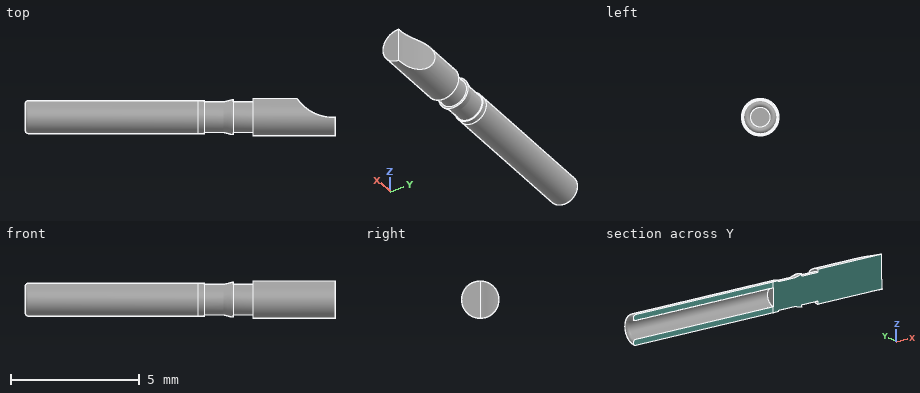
import cadquery as cq
import math

TOTAL_LENGTH = 12.04
SLEEVE_LENGTH = 6.71
COLLAR_END = 6.96
BARB_START = 7.72
BARB_CREST = 8.02
BARB_END = 8.08
TAIL_START = 8.84

SLEEVE_DIAMETER = 1.29
BORE_DIAMETER = 0.76
NECK_DIAMETER = 1.2
BARB_DIAMETER = 1.36
TAIL_DIAMETER = 1.46

SCOOP_RADIUS = 1.69
SCOOP_FLOOR_START = 11.94


def cylinder(start, end, diameter):
    """Solid cylinder along X between two positions."""
    return cq.Workplane("YZ", origin=(start, 0, 0)).circle(diameter / 2).extrude(end - start)


def make_sleeve():
    """Tube whose open end is rounded over the full thickness of its wall."""
    outer = SLEEVE_DIAMETER / 2
    inner = BORE_DIAMETER / 2
    lip_radius = (outer - inner) / 2
    return (
        cq.Workplane("XY")
        .moveTo(lip_radius, inner)
        .threePointArc((0, inner + lip_radius), (lip_radius, outer))
        .lineTo(SLEEVE_LENGTH, outer)
        .lineTo(SLEEVE_LENGTH, inner)
        .close()
        .revolve(360, (0, 0, 0), (1, 0, 0))
    )


def make_barb():
    """Cone that rises from the neck to a short cylindrical crest."""
    return (
        cq.Workplane("XY")
        .moveTo(BARB_START, 0)
        .lineTo(BARB_START, NECK_DIAMETER / 2)
        .lineTo(BARB_CREST, BARB_DIAMETER / 2)
        .lineTo(BARB_END, BARB_DIAMETER / 2)
        .lineTo(BARB_END, 0)
        .close()
        .revolve(360, (0, 0, 0), (1, 0, 0))
    )


def make_scoop():
    """Cutter with a hollow arc that runs down to a flat floor on the tail's axis plane."""
    top = TAIL_DIAMETER / 2
    arc_angle = math.acos((SCOOP_RADIUS - top) / SCOOP_RADIUS)

    def arc_point(angle):
        return (
            SCOOP_FLOOR_START - SCOOP_RADIUS * math.sin(angle),
            SCOOP_RADIUS - SCOOP_RADIUS * math.cos(angle),
        )

    return (
        cq.Workplane("XY")
        .moveTo(*arc_point(arc_angle))
        .threePointArc(arc_point(arc_angle / 2), (SCOOP_FLOOR_START, 0))
        .lineTo(TOTAL_LENGTH, 0)
        .lineTo(TOTAL_LENGTH, top)
        .close()
        .extrude(TAIL_DIAMETER, both=True)
    )


def make_contact():
    """Stepped pin: collar against the sleeve, barbed neck and scooped tail."""
    collar = cylinder(SLEEVE_LENGTH, COLLAR_END, SLEEVE_DIAMETER)
    neck = cylinder(COLLAR_END, TAIL_START, NECK_DIAMETER)
    tail = cylinder(TAIL_START, TOTAL_LENGTH, TAIL_DIAMETER).cut(make_scoop())
    return collar.union(neck).union(make_barb()).union(tail)


sleeve = make_sleeve()
contact = make_contact()

result = cq.Compound.makeCompound([sleeve.val(), *contact.vals()])